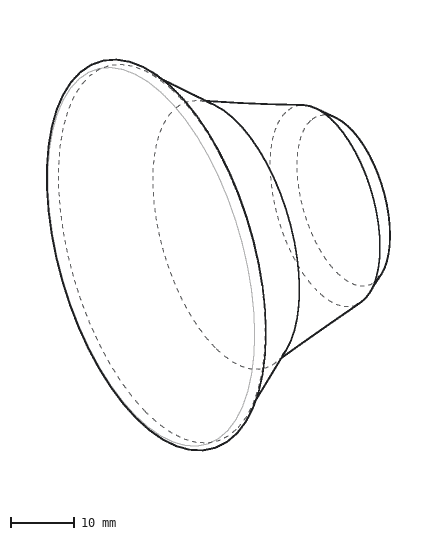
import cadquery as cq

length = 36.0
outer_radius = 32.0
rim_thickness = 2.0
rim_round = rim_thickness / 2
face_radius = outer_radius - rim_round

waist_radius = 22.0
waist_height = 14.0
shoulder_radius = 16.5
shoulder_height = 32.5
end_radius = 14.0

profile = (
    cq.Workplane("XY")
    .lineTo(face_radius, 0)
    .threePointArc((outer_radius, rim_round), (face_radius, rim_thickness))
    .lineTo(waist_radius, waist_height)
    .lineTo(shoulder_radius, shoulder_height)
    .lineTo(end_radius, length)
    .lineTo(0, length)
    .close()
)

result = profile.revolve(360, (0, 0, 0), (0, 1, 0))